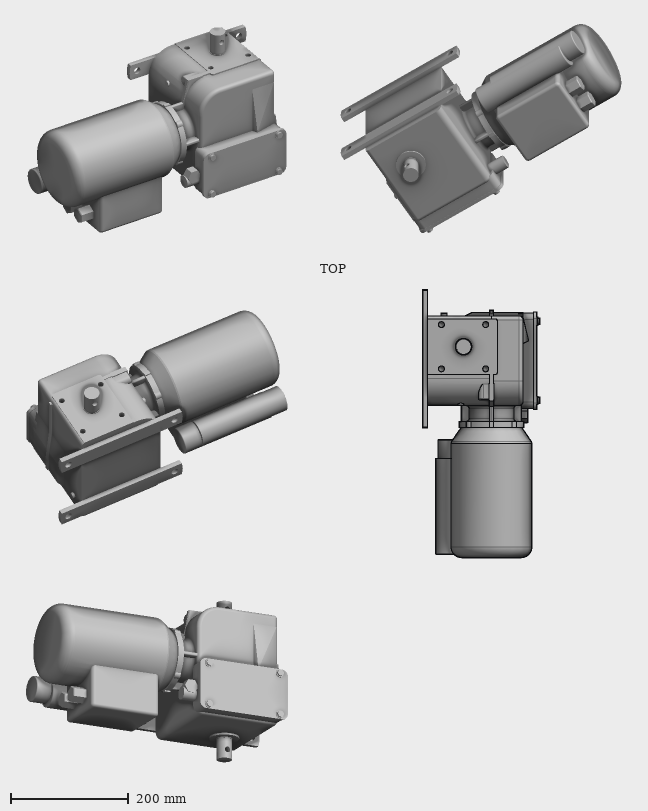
import cadquery as cq
import math


shaft_length = 280.0
shaft_radius = 13.0
pin_hole_radius = 5.0
pin_hole_z = 125.0
sleeve_radius = 14.0
sleeve_height = 1.5
bearing_boss_radius = 25.5
bearing_boss_bottom_z = -102.5

case_left_x = -61.0
case_front_y = -100.0
case_back_y = 52.5
case_top_z = 98.5
case_bottom_z = -99.5
case_shoulder_radius = 45.5
case_bottom_radius = 11.0
case_back_radius = 7.0

seam_x = 47.5
seam_thickness = 6.5
seam_web_thickness = 9.0
seam_web_chamfer = 2.0
seam_web_start_y = -63.0
seam_nose_y = -92.0
seam_toe_y = -102.5
ridge_top_y = 55.5
ridge_bend_z = 9.0
ridge_foot_y = 62.0
ridge_foot_z = -54.5
ridge_end_z = -82.0

cover_right_x = 101.0
cover_edge_radius = 7.0
cover_top_z = 97.0
cover_shoulder_radius = 42.0

pad_right_x = 57.5
pad_half_width = 47.5
pad_top_z = 100.0
pad_corner_radius = 3.5
pad_hole_spacing = 75.0
pad_hole_radius = 5.0
pad_hole_depth = 18.2
pad_hole_tip = 2.7

lug_front_y = -90.2
lug_radius = 8.5
lug_x = 33.7
lug_z = 89.0
lug_back_y = -36.5
lug_edge_radius = 2.5
plug_x = -4.5
plug_z = 65.5
plug_radius = 5.5
plug_depth = 13.5

rear_boss_radius = 5.5
rear_boss_x = -33.5
rear_boss_z = -70.0
rear_boss_y = 57.0
rear_bulge_y = 58.5
rear_bulge_left_x = 2.5
rear_bulge_step_x = 14.5
rear_bulge_top_z = 9.0
rear_bulge_full_z = -36.5
rear_bulge_bottom_z = -86.5
side_bulge_x = 110.8
side_bulge_top_z = 75.0
side_bulge_back_y = 49.0
side_bulge_peak_y = 10.0
side_bulge_front_y = 5.5

control_right_x = 118.5
control_back_y = 57.5
control_front_y = -105.5
control_top_z = -7.7
control_bottom_z = -95.5
control_left_x = 93.5
control_corner_radius = 11.5
lid_thickness = 6.0
lid_end_overhang = 2.0
lid_edge_overhang = 0.5
screw_radius = 5.5
screw_height = 5.5
washer_radius = 7.0
washer_height = 2.0
screw_end_inset = 14.0
screw_edge_inset = 7.5
cable_nut_radius = 12.8
cable_nut_y = -116.0
cable_nut_z = -55.0
cable_nut_left_x = 93.5
cable_nut_right_x = 109.5
cable_sleeve_x = 96.5
cable_sleeve_z = -66.5
cable_sleeve_radius = 11.5
cable_sleeve_front_y = -129.5

foot_thickness = 8.5
foot_width = 29.0
foot_back_y = 97.0
foot_front_y = -138.0
foot_end_bulge = 2.0
foot_z = 70.0
foot_hole_radius = 6.5
foot_hole_back_y = 82.0
foot_hole_spacing = 205.0

motor_x = seam_x
motor_z = 6.0
motor_radius = 69.0
motor_joint_y = -137.5
motor_cone_y = -161.5
motor_body_y = -164.0
motor_end_y = -358.5
motor_mouth_radius = 52.0
motor_shoulder_radius = 68.0
motor_end_radius = 18.5
neck_radius = 38.5
neck_fillet = 5.5
flange_radius = 55.0
flange_back_y = -127.0
neck_rib_reach = 51.5
neck_rib_edge_radius = 2.5
flange_tab_reach = 57.5
flange_lug_radius = 7.0
flange_lug_circle = 51.0

terminal_width = 102.0
terminal_back_y = -171.5
terminal_front_y = -299.5
terminal_bottom_z = -114.5
terminal_top_z = -36.5
terminal_radius = 7.0
terminal_bottom_radius = 5.5
gland_radius = 14.0
gland_chamfer = 1.5
gland_x_positions = (30.0, 65.0)
gland_z = -86.0
gland_front_y = -323.5

capacitor_x = -25.0
capacitor_z = -55.5
capacitor_radius = 22.5
capacitor_back_y = -189.5
capacitor_front_y = -353.2
holder_x = -20.5
holder_z = -62.5
holder_radius = 23.2
holder_back_y = -157.5
holder_front_y = -326.0
can_edge_radius = 2.0


def block(x0, x1, y0, y1, z0, z1):
    """Box spanning the given limits."""
    return cq.Workplane("XY").box(x1 - x0, y1 - y0, z1 - z0, centered=False).translate((x0, y0, z0))


def cylinder_y(x, z, radius, back_y, front_y):
    """Cylinder along Y."""
    return cq.Workplane("XZ", origin=(x, back_y, z)).circle(radius).extrude(back_y - front_y)


def cylinder_x(y, z, radius, left_x, right_x):
    """Cylinder along X."""
    return cq.Workplane("YZ", origin=(left_x, y, z)).circle(radius).extrude(right_x - left_x)


def cylinder_z(x, y, radius, bottom_z, top_z):
    """Cylinder along Z."""
    return cq.Workplane("XY", origin=(x, y, bottom_z)).circle(radius).extrude(top_z - bottom_z)


def hexagon(radius):
    """Corners of a hexagon with one corner straight up."""
    return [
        (radius * math.sin(math.radians(60 * i)), radius * math.cos(math.radians(60 * i)))
        for i in range(6)
    ]


def on_motor_axis(profile):
    """Turn a profile of (radius, Y) about the motor axis."""
    return profile.close().revolve(360, (0, 0, 0), (0, 1, 0)).translate((motor_x, 0, motor_z))


def case_shell(left_x, right_x, top_z, shoulder_radius):
    """Gear case block with a large rounded shoulder above the motor."""
    shell = block(left_x, right_x, case_front_y, case_back_y, case_bottom_z, top_z)
    shell = shell.edges("|X and <Y and >Z").fillet(shoulder_radius)
    shell = shell.edges("|X and <Y and <Z").fillet(case_bottom_radius)
    return shell.edges("|X and >Y").fillet(case_back_radius)


def make_cover():
    """Cover half with a rounded outer face."""
    cover = case_shell(seam_x, cover_right_x, cover_top_z, cover_shoulder_radius)
    return cover.faces(">X").edges().fillet(cover_edge_radius)


def shoulder_web(thickness, start_y):
    """Upright plate in the seam that squares off the rounded shoulder in front of start_y."""
    shoulder_z = case_top_z - case_shoulder_radius
    return (
        cq.Workplane("YZ", origin=(seam_x - thickness / 2, 0, 0))
        .moveTo(start_y, pad_top_z)
        .lineTo(seam_nose_y, pad_top_z)
        .lineTo(seam_toe_y, shoulder_z)
        .lineTo(start_y, shoulder_z)
        .close()
        .extrude(thickness)
    )


def make_seam_plate():
    """Web standing out of the rounded shoulder, plus the slanted ridge on the back."""
    narrow_web = shoulder_web(seam_thickness, -pad_half_width)
    wide_web = shoulder_web(seam_web_thickness, seam_web_start_y)
    nose = cq.selectors.BoxSelector(
        (seam_x - seam_web_thickness, seam_toe_y, case_top_z - case_shoulder_radius),
        (seam_x + seam_web_thickness, seam_nose_y, pad_top_z - seam_web_chamfer),
    )
    wide_web = wide_web.edges(nose).edges("not |X").chamfer(seam_web_chamfer)
    ridge = (
        cq.Workplane("YZ", origin=(seam_x - seam_thickness / 2, 0, 0))
        .moveTo(0, case_top_z - case_back_radius)
        .lineTo(ridge_top_y, case_top_z - case_back_radius)
        .lineTo(ridge_top_y, ridge_bend_z)
        .lineTo(ridge_foot_y, ridge_foot_z)
        .lineTo(ridge_foot_y, ridge_end_z)
        .lineTo(0, ridge_end_z)
        .close()
        .extrude(seam_thickness)
    )
    return narrow_web.union(wide_web).union(ridge)


def make_pad():
    """Raised rectangular pad around the shaft."""
    pad = block(case_left_x, pad_right_x, -pad_half_width, pad_half_width, 0, pad_top_z)
    return pad.edges("|Z and >X").fillet(pad_corner_radius)


def cut_pad_holes(body):
    """Four blind bolt holes with conical bottoms around the shaft."""
    tip_z = pad_top_z - pad_hole_depth - pad_hole_tip
    half_spacing = pad_hole_spacing / 2
    for x in (-half_spacing, half_spacing):
        for y in (-half_spacing, half_spacing):
            bore = cylinder_z(x, y, pad_hole_radius, pad_top_z - pad_hole_depth, pad_top_z)
            drill_tip = cq.Solid.makeCone(0, pad_hole_radius, pad_hole_tip, cq.Vector(x, y, tip_z))
            body = body.cut(bore).cut(cq.Workplane(drill_tip))
    return body


def make_case_details():
    """Bolt lug against the seam, oil plug and a rear boss."""
    lug = (
        cq.Workplane("XZ", origin=(0, lug_back_y, 0))
        .moveTo(seam_x, lug_z + lug_radius)
        .lineTo(lug_x, lug_z + lug_radius)
        .threePointArc((lug_x - lug_radius, lug_z), (lug_x, lug_z - lug_radius))
        .lineTo(seam_x, lug_z - lug_radius)
        .close()
        .extrude(lug_back_y - lug_front_y)
    )
    lug = lug.faces("<Y").edges("not >X").fillet(lug_edge_radius)
    plug = cylinder_y(plug_x, plug_z, plug_radius, case_front_y + plug_depth, case_front_y)
    boss = cylinder_y(rear_boss_x, rear_boss_z, rear_boss_radius, rear_boss_y, 0)
    return lug.union(plug).union(boss)


def make_rear_bulge():
    """Low bulge on the back, slanted at its top and its left end."""
    outline = [
        (rear_bulge_left_x, case_back_y),
        (rear_bulge_step_x, rear_bulge_y),
        (cover_right_x, rear_bulge_y),
        (cover_right_x, 0),
        (rear_bulge_left_x, 0),
    ]
    slope = [
        (case_back_y, rear_bulge_top_z),
        (rear_bulge_y, rear_bulge_full_z),
        (rear_bulge_y, rear_bulge_bottom_z),
        (0, rear_bulge_bottom_z),
        (0, rear_bulge_top_z),
    ]
    plan = cq.Workplane("XY", origin=(0, 0, rear_bulge_bottom_z)).polyline(outline).close()
    side = cq.Workplane("YZ").polyline(slope).close()
    return plan.extrude(rear_bulge_top_z - rear_bulge_bottom_z).intersect(side.extrude(cover_right_x))


def make_side_bulge():
    """Slanted bulge on the +X face, rising out of the cover down to the control box."""
    inner_x = seam_x
    outline = [
        (cover_right_x, side_bulge_back_y),
        (side_bulge_x, side_bulge_peak_y),
        (cover_right_x, side_bulge_front_y),
        (inner_x, side_bulge_front_y),
        (inner_x, side_bulge_back_y),
    ]
    slope = [
        (cover_right_x, side_bulge_top_z),
        (side_bulge_x, control_top_z),
        (inner_x, control_top_z),
        (inner_x, side_bulge_top_z),
    ]
    plan = cq.Workplane("XY", origin=(0, 0, control_top_z)).polyline(outline).close()
    front = cq.Workplane("XZ", origin=(0, side_bulge_back_y, 0)).polyline(slope).close()
    return plan.extrude(side_bulge_top_z - control_top_z).intersect(
        front.extrude(side_bulge_back_y - side_bulge_front_y)
    )


def make_control_box():
    """Box with an overhanging lid and a screw at each corner of the lid."""
    lid_right_x = control_right_x + lid_thickness
    box = block(
        control_left_x, control_right_x,
        control_front_y, control_back_y, control_bottom_z, control_top_z,
    ).edges("|X").fillet(control_corner_radius)
    lid = block(
        control_right_x, lid_right_x,
        control_front_y - lid_end_overhang, control_back_y + lid_end_overhang,
        control_bottom_z - lid_edge_overhang, control_top_z + lid_edge_overhang,
    ).edges("|X").fillet(control_corner_radius)
    box = box.union(lid)
    for y in (control_back_y - screw_end_inset, control_front_y + screw_end_inset):
        for z in (control_top_z - screw_edge_inset, control_bottom_z + screw_edge_inset):
            box = box.union(cylinder_x(y, z, washer_radius, control_right_x, lid_right_x + washer_height))
            box = box.union(cylinder_x(y, z, screw_radius, control_right_x, lid_right_x + screw_height))
    return box


def make_cable_entry():
    """Hexagonal nut lying along X and a round cable sleeve, both on the front of the control box."""
    nut = (
        cq.Workplane("YZ", origin=(cable_nut_left_x, cable_nut_y, cable_nut_z))
        .polyline([(y, z) for z, y in hexagon(cable_nut_radius)])
        .close()
        .extrude(cable_nut_right_x - cable_nut_left_x)
    )
    sleeve = cylinder_y(
        cable_sleeve_x, cable_sleeve_z, cable_sleeve_radius, case_front_y, cable_sleeve_front_y
    )
    return nut.union(sleeve)


def make_foot(z):
    """Flat bar with gently curved ends and a bolt hole near each end."""
    half_width = foot_width / 2
    bar = (
        cq.Workplane("YZ", origin=(case_left_x - foot_thickness, 0, z))
        .moveTo(foot_front_y + foot_end_bulge, -half_width)
        .lineTo(foot_back_y - foot_end_bulge, -half_width)
        .threePointArc((foot_back_y, 0), (foot_back_y - foot_end_bulge, half_width))
        .lineTo(foot_front_y + foot_end_bulge, half_width)
        .threePointArc((foot_front_y, 0), (foot_front_y + foot_end_bulge, -half_width))
        .close()
        .extrude(foot_thickness)
    )
    for y in (foot_hole_back_y, foot_hole_back_y - foot_hole_spacing):
        bar = bar.cut(cylinder_x(y, z, foot_hole_radius, case_left_x - foot_thickness, case_left_x))
    return bar


def make_neck():
    """Waisted neck with a flange, four ribs and four bolt lugs."""
    flare = neck_radius + neck_fillet
    bend = neck_fillet * math.sqrt(0.5)
    waist_back_y = case_front_y - neck_fillet
    waist_front_y = flange_back_y + neck_fillet
    neck = on_motor_axis(
        cq.Workplane("XY")
        .moveTo(0, case_front_y + neck_fillet)
        .lineTo(flare, case_front_y + neck_fillet)
        .lineTo(flare, case_front_y)
        .threePointArc((flare - bend, waist_back_y + bend), (neck_radius, waist_back_y))
        .lineTo(neck_radius, waist_front_y)
        .threePointArc((flare - bend, waist_front_y - bend), (flare, flange_back_y))
        .lineTo(flange_radius, flange_back_y)
        .lineTo(flange_radius, motor_joint_y)
        .lineTo(0, motor_joint_y)
    )
    half = seam_thickness / 2
    flange_tabs = block(
        motor_x - half, motor_x + half, motor_joint_y, flange_back_y,
        motor_z - flange_tab_reach, motor_z + flange_tab_reach,
    )
    neck = neck.union(flange_tabs)
    for i in range(4):
        rib = block(0, neck_rib_reach, motor_joint_y, case_front_y, -half, half)
        rib = rib.edges("|Y and >X").fillet(neck_rib_edge_radius)
        rib = rib.rotate((0, 0, 0), (0, 1, 0), 90 * i).translate((motor_x, 0, motor_z))
        angle = math.radians(45 + 90 * i)
        lug_center_x = motor_x + flange_lug_circle * math.cos(angle)
        lug_center_z = motor_z + flange_lug_circle * math.sin(angle)
        lug = cylinder_y(lug_center_x, lug_center_z, flange_lug_radius, flange_back_y, motor_joint_y)
        neck = neck.union(rib).union(lug)
    return neck


def add_shaft(body):
    """Shaft through the case, its sleeve ring, lower bearing boss and pin holes."""
    half_length = shaft_length / 2
    body = body.union(cylinder_z(0, 0, shaft_radius, -half_length, half_length))
    body = body.union(
        cylinder_z(0, 0, sleeve_radius, bearing_boss_bottom_z - sleeve_height, pad_top_z + sleeve_height)
    )
    body = body.union(cylinder_z(0, 0, bearing_boss_radius, bearing_boss_bottom_z, 0))
    for z in (-pin_hole_z, pin_hole_z):
        body = body.cut(cylinder_x(0, z, pin_hole_radius, -shaft_radius, shaft_radius))
    return body


def make_gear_unit():
    """Gear case with its cover, control box, neck, feet and output shaft."""
    body = case_shell(case_left_x, seam_x, case_top_z, case_shoulder_radius)
    body = body.union(make_cover())
    body = body.union(make_seam_plate())
    body = body.union(make_pad())
    body = body.union(make_case_details())
    body = body.union(make_rear_bulge())
    body = body.union(make_side_bulge())
    body = body.union(make_control_box())
    body = body.union(make_cable_entry())
    body = body.union(make_neck())
    for z in (-foot_z, foot_z):
        body = body.union(make_foot(z))
    return cut_pad_holes(add_shaft(body))


def make_motor_can():
    """Cylindrical can with a conical mouth and a rounded closed end."""
    bend = motor_end_radius * (1 - math.sqrt(0.5))
    return on_motor_axis(
        cq.Workplane("XY")
        .moveTo(0, motor_joint_y)
        .lineTo(motor_mouth_radius, motor_joint_y)
        .lineTo(motor_shoulder_radius, motor_cone_y)
        .lineTo(motor_radius, motor_body_y)
        .lineTo(motor_radius, motor_end_y + motor_end_radius)
        .threePointArc(
            (motor_radius - bend, motor_end_y + bend), (motor_radius - motor_end_radius, motor_end_y)
        )
        .lineTo(0, motor_end_y)
    )


def make_terminal_box():
    """Rounded box under the motor with two hexagonal cable glands."""
    half_width = terminal_width / 2
    box = block(
        motor_x - half_width, motor_x + half_width,
        terminal_front_y, terminal_back_y, terminal_bottom_z, terminal_top_z,
    )
    box = box.edges("|Z").fillet(terminal_radius)
    box = box.faces("<Z").edges().fillet(terminal_bottom_radius)
    for x in gland_x_positions:
        gland = (
            cq.Workplane("XZ", origin=(x, terminal_front_y, gland_z))
            .polyline(hexagon(gland_radius))
            .close()
            .extrude(terminal_front_y - gland_front_y)
        )
        gland = gland.faces("<Y").edges().chamfer(gland_chamfer)
        box = box.union(gland)
    return box


def make_capacitor():
    """Capacitor can lying partly in a slightly larger holder."""
    can = cylinder_y(capacitor_x, capacitor_z, capacitor_radius, capacitor_back_y, capacitor_front_y)
    holder = cylinder_y(holder_x, holder_z, holder_radius, holder_back_y, holder_front_y)
    can = can.faces("<Y").edges().fillet(can_edge_radius)
    holder = holder.edges().fillet(can_edge_radius)
    return can.union(holder)


def make_motor():
    """Motor can with its terminal box and capacitor."""
    return make_motor_can().union(make_terminal_box()).union(make_capacitor())


gear_unit = make_gear_unit()
motor = make_motor()
result = cq.Compound.makeCompound([gear_unit.solids().val(), motor.solids().val()])